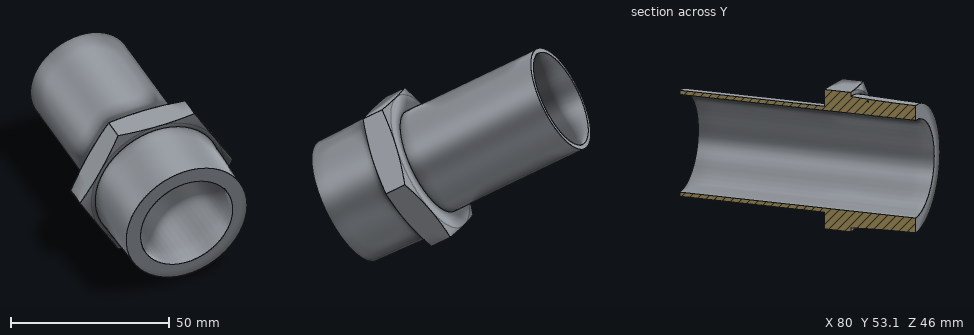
import cadquery as cq
import math

total_length = 80.0
tube_diameter = 35.0
bore_diameter = 32.0
hex_start = 49.0
hex_end = 58.1
across_flats = 46.0
chamfer_angle = 15.0
taper_large_diameter = 43.4
taper_small_diameter = 42.0

across_corners = across_flats / math.cos(math.radians(30))
corner_height = (across_corners - across_flats) / 2
chamfer_length = corner_height * math.tan(math.radians(chamfer_angle))


def revolve_about_x(points):
    """Revolve a closed (x, radius) outline about the X axis."""
    return cq.Workplane("XY").polyline(points).close().revolve(360, (0, 0, 0), (1, 0, 0))


def chamfered_hexagon():
    """Hexagon with corners on +Y and -Y, its corners turned down at both ends."""
    hexagon = (
        cq.Workplane("YZ")
        .workplane(offset=hex_start)
        .polygon(6, across_corners)
        .extrude(hex_end - hex_start)
    )
    turned_envelope = revolve_about_x([
        (hex_start, 0),
        (hex_start, across_flats / 2),
        (hex_start + chamfer_length, across_corners / 2),
        (hex_end - chamfer_length, across_corners / 2),
        (hex_end, across_flats / 2),
        (hex_end, 0),
    ])
    return hexagon.intersect(turned_envelope)


def tapered_end():
    """Male end that narrows slightly toward the open face."""
    return revolve_about_x([
        (hex_end, 0),
        (hex_end, taper_large_diameter / 2),
        (total_length, taper_small_diameter / 2),
        (total_length, 0),
    ])


tube = cq.Workplane("YZ").circle(tube_diameter / 2).extrude(hex_end)
bore = cq.Workplane("YZ").circle(bore_diameter / 2).extrude(total_length)

result = tube.union(chamfered_hexagon()).union(tapered_end()).cut(bore)